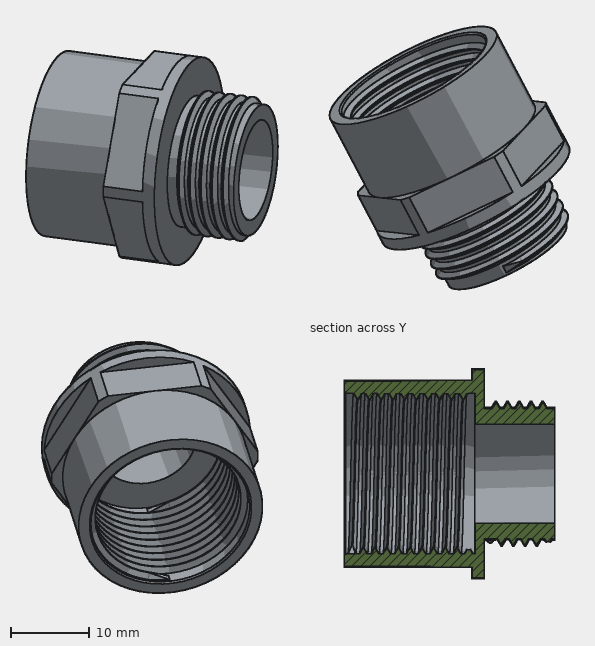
import cadquery as cq
import math

total_length = 27.0
hex_start = 11.05
flange_start = 16.35
flange_end = 17.98
bore_depth = 16.75

flange_diameter = 26.92
body_diameter = 24.0
hex_across_flats = body_diameter
spigot_diameter = 17.0
bore_diameter = 20.7
passage_diameter = 13.0
mouth_chamfer = 0.22

ridge_height = 0.78
ridge_base = 1.03
ridge_crest = 0.14
root_overlap = 0.15
fade_angle = 16.0
tip_scale = 0.05

outer_thread_start = 18.68
outer_thread_run = 7.5
outer_thread_turns = 5
pitch = outer_thread_run / outer_thread_turns
inner_thread_start = 0.97
inner_thread_turns = 10


def cylinder(start, end, diameter):
    """Round bar along X between two stations."""
    return cq.Workplane("YZ", origin=(start, 0, 0)).circle(diameter / 2).extrude(end - start)


def hexagon():
    """Hexagon with flats facing +Z and -Z, its corners turned down to the flange diameter."""
    across_corners = hex_across_flats / math.cos(math.pi / 6)
    prism = (
        cq.Workplane("YZ", origin=(hex_start, 0, 0))
        .polygon(6, across_corners)
        .extrude(flange_start - hex_start)
    )
    return prism.intersect(cylinder(hex_start, flange_start, flange_diameter))


def ridge_profile(root_radius, outward, scale=1.0):
    """(offset along X, radius) corners of the trapezoid ridge.

    outward is +1 for a ridge on a shaft and -1 for a ridge inside a bore.
    A scale below 1 lowers the crest and widens it towards the full base width.
    """
    sunk = root_radius - outward * root_overlap
    crest = root_radius + outward * ridge_height * scale
    half_base = ridge_base / 2
    half_crest = half_base - (ridge_base - ridge_crest) / 2 * scale
    return [
        (-half_base, sunk),
        (-half_base, root_radius),
        (-half_crest, crest),
        (half_crest, crest),
        (half_base, root_radius),
        (half_base, sunk),
    ]


def ridge_section(profile, start, angle):
    """Closed wire of a ridge profile at an angle in degrees along the helix, measured from -Z."""
    station = start + pitch * angle / 360
    turn = math.radians(angle)
    points = [
        cq.Vector(station + offset, radius * math.sin(turn), -radius * math.cos(turn))
        for offset, radius in profile
    ]
    return cq.Wire.makePolygon(points, close=True)


def helix_along_x(start, radius, first_angle, last_angle):
    """Right-handed helix about X; angles in degrees are measured from -Z."""
    length = pitch * (last_angle - first_angle) / 360
    return (
        cq.Wire.makeHelix(pitch, length, radius)
        .rotate(cq.Vector(), cq.Vector(0, 1, 0), 90)
        .rotate(cq.Vector(), cq.Vector(1, 0, 0), first_angle)
        .translate(cq.Vector(start + pitch * first_angle / 360, 0, 0))
    )


def thread(start, turns, root_radius, outward):
    """Helical ridge starting and ending at -Z, fading out at both ends."""
    last_angle = 360 * turns
    full_start = fade_angle
    full_end = last_angle - fade_angle

    full = ridge_profile(root_radius, outward)
    tip = ridge_profile(root_radius, outward, tip_scale)
    first_section = ridge_section(full, start, full_start)
    last_section = ridge_section(full, start, full_end)

    helices = [
        helix_along_x(start + offset, radius, full_start, full_end) for offset, radius in full
    ]
    faces = [
        cq.Face.makeRuledSurface(helices[i - 1], helices[i]) for i in range(len(helices))
    ]
    faces += [cq.Face.makeFromWires(first_section), cq.Face.makeFromWires(last_section)]
    ridge = cq.Solid.makeSolid(cq.Shell.makeShell(faces))

    lead_in = cq.Solid.makeLoft([ridge_section(tip, start, 0), first_section], True)
    run_out = cq.Solid.makeLoft([last_section, ridge_section(tip, start, last_angle)], True)
    return [ridge.fix(), lead_in, run_out]


body = cylinder(0, flange_start, body_diameter)
body = body.union(hexagon())
body = body.union(cylinder(flange_start, flange_end, flange_diameter))
body = body.union(cylinder(flange_end, total_length, spigot_diameter))

bore = cylinder(0, bore_depth, bore_diameter)
body = body.cut(bore).cut(cylinder(0, total_length, passage_diameter))
mouth_edge = cq.selectors.RadiusNthSelector(0)
body = body.faces("<X").edges(mouth_edge).chamfer(mouth_chamfer)

ridges = thread(outer_thread_start, outer_thread_turns, spigot_diameter / 2, 1)
ridges += thread(inner_thread_start, inner_thread_turns, bore_diameter / 2, -1)
for ridge in ridges:
    body = body.union(cq.Workplane(ridge))

result = body